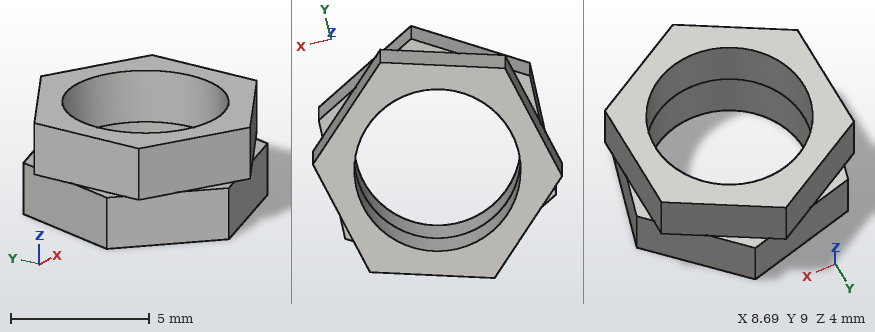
import cadquery as cq

ACROSS_CORNERS = 9.0
BORE_DIAMETER = 6.0
NUT_HEIGHT = 2.0
SIDES = 6

LOWER_CORNER_ANGLE = 15.0
UPPER_CORNER_ANGLE = 30.0


def hex_nut(base_height, corner_angle):
    """Plain hexagonal ring standing on base_height, turned about the Z axis."""
    return (
        cq.Workplane("XY")
        .polygon(SIDES, ACROSS_CORNERS)
        .circle(BORE_DIAMETER / 2)
        .extrude(NUT_HEIGHT)
        .rotate((0, 0, 0), (0, 0, 1), corner_angle)
        .translate((0, 0, base_height))
    )


nut_placements = [
    (0, LOWER_CORNER_ANGLE),
    (NUT_HEIGHT, UPPER_CORNER_ANGLE),
]
nuts = [hex_nut(base_height, corner_angle) for base_height, corner_angle in nut_placements]

result = cq.Compound.makeCompound([nut.val() for nut in nuts])